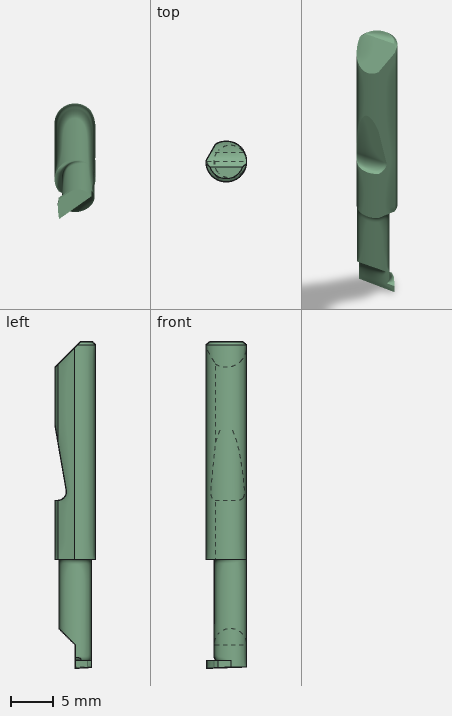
import math

import cadquery as cq


SHANK_RADIUS = 2.38125
TOTAL_LENGTH = 38.1
NECK_LENGTH = 12.7
END_CHAMFER = 0.38
SLOPE_DROP_AT_AXIS = 0.61

FLAT_DISTANCE = 2.1
FLAT_DIRECTION = 150

NOTCH_START = 9.7
NOTCH_END = 18.5
NOTCH_ANGLE = 9.8
NOTCH_RADIUS = 1.0

NECK_RADIUS = 1.905
NECK_CENTER_X = SHANK_RADIUS - NECK_RADIUS
HALF_NECK_HEIGHT = 2.75

HEAD_HEIGHT = 0.95
TIP_X = -2.29
FLANK_END = (-1.45, -1.43)
FLANK_BULGE = 0.03
HEEL_START_X = -0.95
HEAD_SIDE_Y = -1.92
HEAD_SIDE_END_X = 0.55
RELIEF_ANGLE = 2

UNDERCUT_X = -1.31
UNDERCUT_STRAIGHT_HEIGHT = 0.1
UNDERCUT_RADIUS = 0.3

CLEARANCE = 5.0


def yz_cutter(points):
    """Prism across the whole bar with the given (Y, Z) outline."""
    return cq.Workplane("YZ").polyline(points).close().extrude(CLEARANCE, both=True)


def make_shank():
    shank = (
        cq.Workplane("XY")
        .workplane(offset=NECK_LENGTH)
        .circle(SHANK_RADIUS)
        .extrude(TOTAL_LENGTH - NECK_LENGTH)
        .faces(">Z")
        .chamfer(END_CHAMFER)
    )
    return shank.cut(end_slope()).cut(orientation_flat()).cut(clamping_notch())


def end_slope():
    """45 degree slope falling from the top towards +Y."""
    axis_z = TOTAL_LENGTH - SLOPE_DROP_AT_AXIS
    return yz_cutter([
        (-CLEARANCE, axis_z + CLEARANCE),
        (CLEARANCE, axis_z - CLEARANCE),
        (CLEARANCE, axis_z + CLEARANCE),
    ])


def orientation_flat():
    return (
        cq.Workplane("XY")
        .box(CLEARANCE, 2 * CLEARANCE, TOTAL_LENGTH, centered=(False, True, False))
        .translate((FLAT_DISTANCE, 0, 0))
        .rotate((0, 0, 0), (0, 0, 1), FLAT_DIRECTION)
    )


def clamping_notch():
    """Wedge deepening downwards, with a rounded root and a square lower wall."""
    start_z = TOTAL_LENGTH - NOTCH_START
    end_z = TOTAL_LENGTH - NOTCH_END
    slope = math.tan(math.radians(NOTCH_ANGLE))
    root_y = SHANK_RADIUS - (start_z - end_z) * slope
    outer_z = start_z + (CLEARANCE - SHANK_RADIUS) / slope
    wedge = yz_cutter([(root_y, end_z), (CLEARANCE, end_z), (CLEARANCE, outer_z)])
    return wedge.edges("<Y").fillet(NOTCH_RADIUS)


def make_neck():
    neck = cq.Workplane("XY").center(NECK_CENTER_X, 0).circle(NECK_RADIUS).extrude(NECK_LENGTH)
    return neck.cut(rake_relief()).cut(head_undercut())


def rake_relief():
    """Removes the +Y half of the lower neck, ending in a 45 degree run-out."""
    return yz_cutter([
        (0, -CLEARANCE),
        (0, HALF_NECK_HEIGHT),
        (CLEARANCE, HALF_NECK_HEIGHT + CLEARANCE),
        (CLEARANCE, -CLEARANCE),
    ])


def head_undercut():
    """Relief across the -X side of the neck above the head, with a rounded top corner."""
    outer_x = UNDERCUT_X - UNDERCUT_RADIUS
    arc_start_z = HEAD_HEIGHT + UNDERCUT_STRAIGHT_HEIGHT
    arc_offset = UNDERCUT_RADIUS * math.sqrt(0.5)
    return (
        cq.Workplane("XZ")
        .moveTo(UNDERCUT_X, HEAD_HEIGHT)
        .lineTo(UNDERCUT_X, arc_start_z)
        .threePointArc(
            (outer_x + arc_offset, arc_start_z + arc_offset),
            (outer_x, arc_start_z + UNDERCUT_RADIUS),
        )
        .lineTo(outer_x, HEAD_HEIGHT)
        .close()
        .extrude(CLEARANCE, both=True)
    )


def make_head():
    """Cutting head: curved flank, 45 degree heel and a flat side just outside the neck."""
    chord_x = FLANK_END[0] - TIP_X
    chord_y = FLANK_END[1]
    chord = math.hypot(chord_x, chord_y)
    flank_middle = (
        (TIP_X + FLANK_END[0]) / 2 + FLANK_BULGE * chord_y / chord,
        chord_y / 2 - FLANK_BULGE * chord_x / chord,
    )
    return (
        cq.Workplane("XY")
        .moveTo(TIP_X, 0)
        .threePointArc(flank_middle, FLANK_END)
        .lineTo(HEEL_START_X, HEAD_SIDE_Y)
        .lineTo(HEAD_SIDE_END_X, HEAD_SIDE_Y)
        .lineTo(HEAD_SIDE_END_X, 0)
        .close()
        .extrude(HEAD_HEIGHT)
    )


def end_relief():
    """Body below the end face, which rises from the tip towards +X and -Y."""
    return (
        cq.Workplane("XY")
        .box(4 * CLEARANCE, 4 * CLEARANCE, CLEARANCE)
        .translate((0, 0, -CLEARANCE / 2))
        .rotate((0, 0, 0), (1, 0, 0), -RELIEF_ANGLE)
        .rotate((0, 0, 0), (0, 1, 0), -RELIEF_ANGLE)
        .translate((TIP_X, 0, 0))
    )


result = make_shank().union(make_neck()).union(make_head()).cut(end_relief())